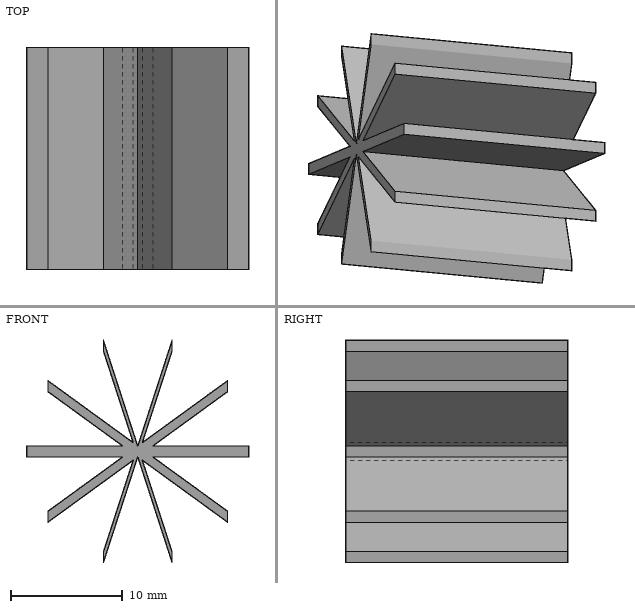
import cadquery as cq
import math

overall_height = 20.02
blade_thickness = 1.0
blade_count = 10

blade_pitch = 360.0 / blade_count
steepest_angle = 2 * blade_pitch
half_thickness = blade_thickness / 2
radius = (overall_height / 2 - half_thickness) / math.sin(math.radians(steepest_angle))
length = 2 * radius


def blade_pair(angle):
    """Two opposite blades as one sheared slab with vertical end faces."""
    tip_x = radius * math.cos(math.radians(angle))
    tip_z = radius * math.sin(math.radians(angle))
    return (
        cq.Workplane("XZ")
        .moveTo(-tip_x, -tip_z - half_thickness)
        .lineTo(tip_x, tip_z - half_thickness)
        .lineTo(tip_x, tip_z + half_thickness)
        .lineTo(-tip_x, -tip_z + half_thickness)
        .close()
        .extrude(length / 2, both=True)
    )


result = blade_pair(0)
for index in range(1, blade_count // 2):
    result = result.union(blade_pair(index * blade_pitch))